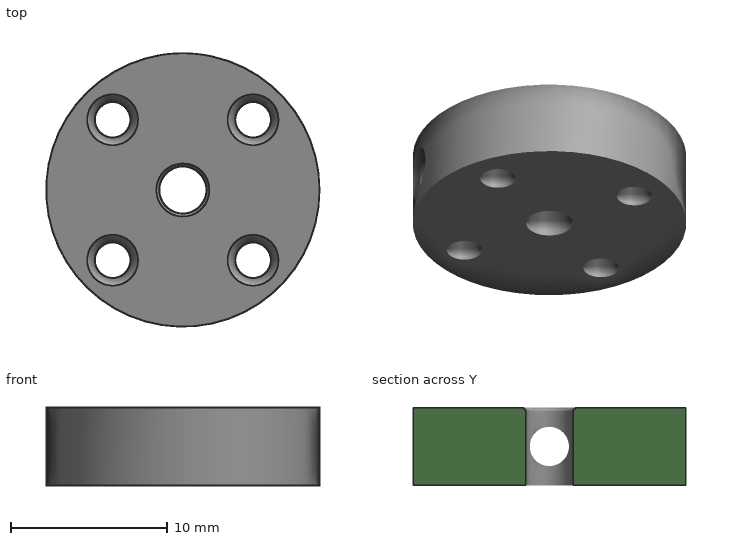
import cadquery as cq
import math

hub_diameter = 17.5
hub_height = 5.0

bore_diameter = 3.0
bore_rim_diameter = 3.4

mount_count = 4
mount_circle_diameter = 12.7
mount_diameter = 2.25
mount_rim_diameter = 3.25

screw_diameter = 2.5
screw_chamfer = 0.44


def countersunk_cutter(hole_diameter, rim_diameter):
    """Through-hole cutter on the Z axis, with a 45 degree flare ending at the top face."""
    hole_radius = hole_diameter / 2
    rim_radius = rim_diameter / 2
    flare_depth = rim_radius - hole_radius
    return (
        cq.Workplane("XZ")
        .lineTo(hole_radius, 0)
        .lineTo(hole_radius, hub_height - flare_depth)
        .lineTo(rim_radius, hub_height)
        .lineTo(0, hub_height)
        .close()
        .revolve(360, (0, 0, 0), (0, 1, 0))
    )


hub_radius = hub_diameter / 2
hub = cq.Workplane("XY").circle(hub_radius).extrude(hub_height)

screw_cutter = (
    cq.Workplane("XZ", origin=(0, 0, hub_height / 2))
    .circle(screw_diameter / 2)
    .extrude(-hub_diameter)
)
hub = hub.cut(screw_cutter)

mouth_box = cq.selectors.BoxSelector(
    (-screw_diameter / 2, hub_radius - screw_diameter / 2, screw_chamfer),
    (screw_diameter / 2, hub_radius, hub_height - screw_chamfer),
)
hub = hub.edges(mouth_box).chamfer(screw_chamfer)

hub = hub.cut(countersunk_cutter(bore_diameter, bore_rim_diameter))

mount_cutter = countersunk_cutter(mount_diameter, mount_rim_diameter)
mount_circle_radius = mount_circle_diameter / 2
for index in range(mount_count):
    angle = math.radians(45 + index * 360 / mount_count)
    position = (mount_circle_radius * math.cos(angle), mount_circle_radius * math.sin(angle), 0)
    hub = hub.cut(mount_cutter.translate(position))

result = hub